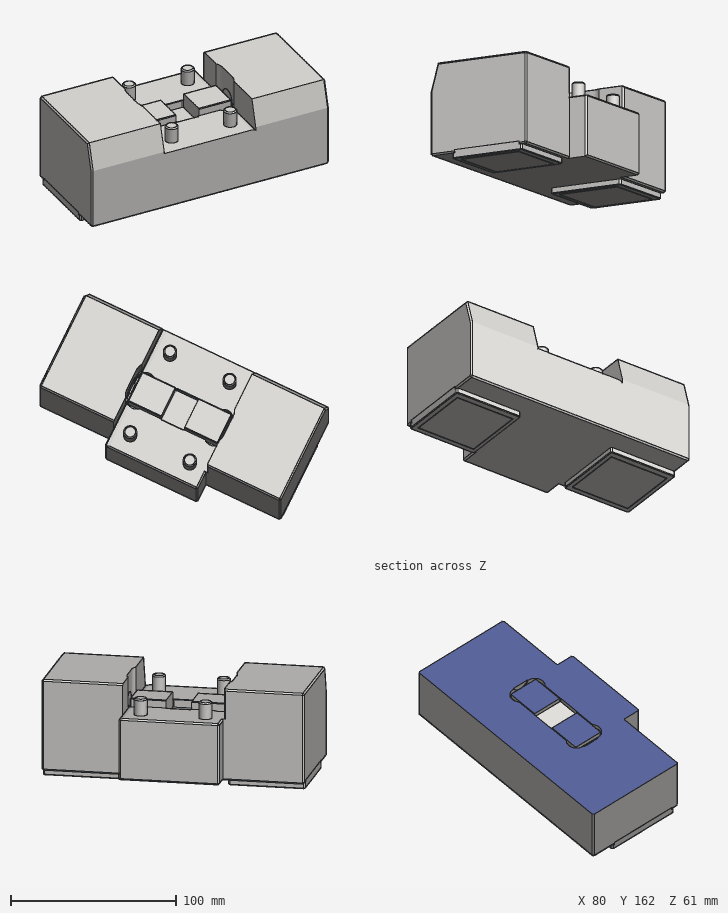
import cadquery as cq
import math

length = 162.0
half_length = length / 2
height = 61.0
base_z = 4.0
housing_left = -28.0
housing_right = 40.0
slope_top_x = 35.0
slope_start_z = 43.5
edge_chamfer = 1.0

deck_left = -40.0
deck_half_width = 31.0
deck_z = 42.5
front_step = 0.5
ramp_width = 2.4
ramp_drop = 0.5
lip_size = 0.5

pocket_depth = 5.0
pocket_floor_z = deck_z - pocket_depth
pocket_half_width = 10.35
pocket_half_length = 32.1
relief_radius = 5.9
relief_x = 6.1
relief_y = pocket_half_length - relief_radius
waist_half_width = 10.5
waist_half_length = 7.2
waist_chamfer = 0.35

recess_half_length = 32.55
recess_flat_half_width = 6.4
recess_corner_radius = 9.5

seat_diameter = 12.0
seat_inner_y = 31.0
seat_wall_depth = 0.1
seat_rim = 0.5

block_half_width = 10.1
block_inner_y = 7.9
block_outer_y = 30.2
block_top_z = 47.3
block_chamfer = 0.5

pin_diameter = 8.0
pin_top_z = 52.8
pin_chamfer = 0.8
pin_x = 27.65
pin_y = 20.0

foot_width = 49.4
foot_inner_y = 33.4
foot_setback = 0.1
foot_outer_y = half_length - foot_setback
foot_bottom_z = 0.4
foot_edge_chamfer = 1.0
foot_bottom_chamfer = 0.5
neck_width = 45.8
neck_top_z = 5.75
pad_size = 41.0
pad_centre_y = 57.0


def box(x0, x1, y0, y1, z0, z1):
    """Box between two opposite corners."""
    return cq.Workplane("XY").box(x1 - x0, y1 - y0, z1 - z0, centered=False).translate((x0, y0, z0))


def make_housing():
    """Long bar with a leaning +X side, chamfered ends and a gap cut out of its middle."""
    bar = (
        cq.Workplane("XZ")
        .moveTo(housing_left + edge_chamfer, base_z)
        .lineTo(housing_right - edge_chamfer, base_z)
        .lineTo(housing_right, base_z + edge_chamfer)
        .lineTo(housing_right, slope_start_z)
        .lineTo(slope_top_x, height)
        .lineTo(housing_left + edge_chamfer, height)
        .lineTo(housing_left, height - edge_chamfer)
        .lineTo(housing_left, base_z + edge_chamfer)
        .close()
        .extrude(half_length, both=True)
        .faces("<Y or >Y")
        .chamfer(edge_chamfer)
    )
    gap_front = -deck_half_width - front_step
    gap = box(deck_left, housing_right, gap_front, deck_half_width, deck_z, height)
    corner = (
        cq.Workplane("XY", origin=(housing_left, gap_front, deck_z))
        .polyline([(0, 0), (edge_chamfer, 0), (0, -edge_chamfer)])
        .close()
        .extrude(height - deck_z)
    )
    return bar.cut(gap).cut(corner)


def make_deck():
    """Overhanging -X part of the deck."""
    return (
        box(deck_left, 0, -deck_half_width, deck_half_width, base_z, deck_z)
        .faces("<X or <Y")
        .edges("not >X")
        .chamfer(edge_chamfer)
    )


def make_ramp_cut():
    """Wedge that tilts the +Y end of the deck downwards, ending in a 45 degree lip."""
    return (
        cq.Workplane("YZ", origin=(deck_left, deck_half_width, deck_z))
        .polyline([(-ramp_width - lip_size, 0), (0, 0), (0, -ramp_drop - lip_size), (-lip_size, -ramp_drop)])
        .close()
        .extrude(housing_right - deck_left)
    )


def make_waist_edge():
    """Tool that chamfers the deck edges along the waist of the pocket."""
    top_half_width = waist_half_width + waist_chamfer
    return (
        cq.Workplane("XZ", origin=(0, 0, deck_z))
        .polyline(
            [
                (-waist_half_width, -waist_chamfer),
                (waist_half_width, -waist_chamfer),
                (top_half_width, 0),
                (-top_half_width, 0),
            ]
        )
        .close()
        .extrude(waist_half_length, both=True)
    )


def make_pocket():
    """Dog-bone pocket with a slightly wider waist."""
    bulge = math.sqrt(relief_radius**2 - (pocket_half_width - relief_x) ** 2)
    neck_y = relief_y - bulge
    relief_edge_x = relief_x + relief_radius
    outline = (
        cq.Workplane("XY", origin=(0, 0, pocket_floor_z))
        .moveTo(0, 0)
        .lineTo(waist_half_width, 0)
        .lineTo(waist_half_width, waist_half_length)
        .lineTo(pocket_half_width, waist_half_length)
        .lineTo(pocket_half_width, neck_y)
        .threePointArc((relief_edge_x, relief_y), (relief_x, pocket_half_length))
        .lineTo(0, pocket_half_length)
        .close()
    )
    quarter = outline.extrude(height - pocket_floor_z)
    half = quarter.union(quarter.mirror("YZ"))
    return half.union(half.mirror("XZ")).union(make_waist_edge())


def make_wall_recess():
    """Round-cornered cut that recesses both tall walls above deck level."""
    return (
        cq.Workplane("XY", origin=(0, 0, deck_z))
        .rect(2 * (recess_flat_half_width + recess_corner_radius), 2 * recess_half_length)
        .extrude(height - deck_z)
        .edges("|Z")
        .fillet(recess_corner_radius)
    )


def make_seat():
    """Disc along Y that hollows the pocket floor and marks the +Y pocket wall."""
    outer_y = recess_half_length + seat_wall_depth
    return (
        cq.Workplane("XZ", origin=(0, outer_y, deck_z))
        .circle(seat_diameter / 2)
        .extrude(outer_y - seat_inner_y)
        .faces("<Y")
        .chamfer(seat_rim)
    )


def make_block():
    """Contact block at the +Y end of the pocket."""
    return (
        box(-block_half_width, block_half_width, block_inner_y, block_outer_y, pocket_floor_z, block_top_z)
        .edges("(>Z except <Y) or (|Z and >Y)")
        .chamfer(block_chamfer)
    )


def make_neck_notch():
    """Notch in the bottom edge of the +Y housing end that exposes the neck of the foot."""
    half_neck = neck_width / 2
    return box(-half_neck, half_neck, pad_centre_y, half_length, base_z, neck_top_z)


def make_foot():
    """Foot plate under the +Y end, with its neck and bottom pad."""
    half_foot = foot_width / 2
    half_neck = neck_width / 2
    half_pad = pad_size / 2
    plate = (
        box(-half_foot, half_foot, foot_inner_y, foot_outer_y, foot_bottom_z, base_z)
        .edges("|Z")
        .chamfer(foot_edge_chamfer)
        .faces("<Z")
        .chamfer(foot_bottom_chamfer)
    )
    neck_bottom_z = foot_bottom_z + foot_bottom_chamfer
    neck = box(-half_neck, half_neck, pad_centre_y, foot_outer_y, neck_bottom_z, neck_top_z)
    pad = box(-half_pad, half_pad, pad_centre_y - half_pad, pad_centre_y + half_pad, 0, base_z)
    return plate.union(neck).union(pad)


def make_pins():
    """Four upright pins on the deck."""
    return (
        cq.Workplane("XY", origin=(0, 0, pocket_floor_z))
        .rect(2 * pin_x, 2 * pin_y, forConstruction=True)
        .vertices()
        .circle(pin_diameter / 2)
        .extrude(pin_top_z - pocket_floor_z)
        .faces(">Z")
        .chamfer(pin_chamfer)
    )


def both_ends(shape):
    """The +Y shape together with its mirror image at the -Y end."""
    return [shape, shape.mirror("XZ")]


result = make_housing().union(make_deck())
result = result.cut(make_ramp_cut()).cut(make_wall_recess()).cut(make_pocket())
for seat in both_ends(make_seat()):
    result = result.cut(seat)
for block in both_ends(make_block()):
    result = result.union(block)
result = result.union(make_pins())
for notch in both_ends(make_neck_notch()):
    result = result.cut(notch)
for foot in both_ends(make_foot()):
    result = result.union(foot)